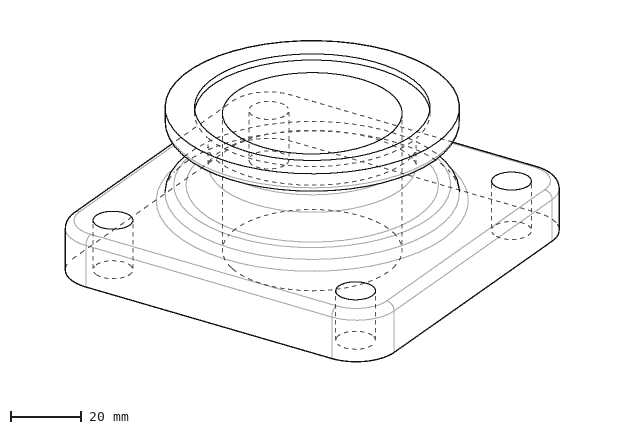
import cadquery as cq
import math

base_side = 108.0
base_height = 15.7
corner_radius = 12.7
edge_fillet = 2.5
bolt_offset = 40.7
bolt_hole_diameter = 11.2

total_height = 45.2
flange_radius = 41.6
collar_fillet = 2.5
neck_radius = 29.4
lower_neck_fillet = 6.3
upper_neck_fillet = 5.0
upper_fillet_start = 32.4
flange_angle = math.radians(15)
rim_fillet = 1.7

bore_radius = 25.4
seat_radius = 33.2
seat_depth = 1.9


def arc_point(center, radius, angle):
    """Point on a circle in the radius-height plane."""
    return (center[0] + radius * math.cos(angle), center[1] + radius * math.sin(angle))


def make_base():
    plate = cq.Workplane("XY").box(base_side, base_side, base_height, centered=(True, True, False))
    return plate.edges("|Z").fillet(corner_radius).faces(">Z").edges().fillet(edge_fillet)


def make_neck():
    """Revolve the collar, waisted neck and tapered flange about Z."""
    collar_middle = base_height + collar_fillet
    collar_top = collar_middle + collar_fillet
    foot_center = (flange_radius + collar_fillet, collar_middle)
    collar_center = (flange_radius - collar_fillet, collar_middle)
    lower_center = (neck_radius + lower_neck_fillet, collar_top + lower_neck_fillet)
    upper_center = (neck_radius + upper_neck_fillet, upper_fillet_start)

    taper_normal = math.pi / 2 + flange_angle
    taper_start = arc_point(upper_center, upper_neck_fillet, taper_normal)
    rim_center_radius = flange_radius - rim_fillet
    rim_start_radius = rim_center_radius + rim_fillet * math.sin(flange_angle)
    rim_start_height = taper_start[1] + (rim_start_radius - taper_start[0]) * math.tan(flange_angle)
    rim_center = (rim_center_radius, rim_start_height + rim_fillet * math.cos(flange_angle))
    rim_middle_angle = (flange_angle - math.pi / 2) / 2

    profile = (
        cq.Workplane("XZ")
        .moveTo(0, 0)
        .lineTo(neck_radius, 0)
        .lineTo(neck_radius, base_height)
        .lineTo(foot_center[0], base_height)
        .threePointArc(arc_point(foot_center, collar_fillet, -3 * math.pi / 4), (flange_radius, collar_middle))
        .threePointArc(arc_point(collar_center, collar_fillet, math.pi / 4), (collar_center[0], collar_top))
        .lineTo(lower_center[0], collar_top)
        .threePointArc(
            arc_point(lower_center, lower_neck_fillet, -3 * math.pi / 4),
            (neck_radius, lower_center[1]),
        )
        .lineTo(neck_radius, upper_fillet_start)
        .threePointArc(
            arc_point(upper_center, upper_neck_fillet, (math.pi + taper_normal) / 2),
            taper_start,
        )
        .lineTo(rim_start_radius, rim_start_height)
        .threePointArc(arc_point(rim_center, rim_fillet, rim_middle_angle), (flange_radius, rim_center[1]))
        .lineTo(flange_radius, total_height)
        .lineTo(0, total_height)
        .close()
    )
    return profile.revolve(360, (0, 0, 0), (0, 1, 0))


def make_bore():
    """Through bore with the seat at its top end."""
    bore = cq.Workplane("XY").circle(bore_radius).extrude(total_height)
    seat = cq.Workplane("XY", origin=(0, 0, total_height - seat_depth)).circle(seat_radius).extrude(seat_depth)
    return bore.union(seat)


def make_bolt_holes():
    return (
        cq.Workplane("XY")
        .rect(2 * bolt_offset, 2 * bolt_offset, forConstruction=True)
        .vertices()
        .circle(bolt_hole_diameter / 2)
        .extrude(base_height)
    )


result = make_base().union(make_neck()).cut(make_bore()).cut(make_bolt_holes())